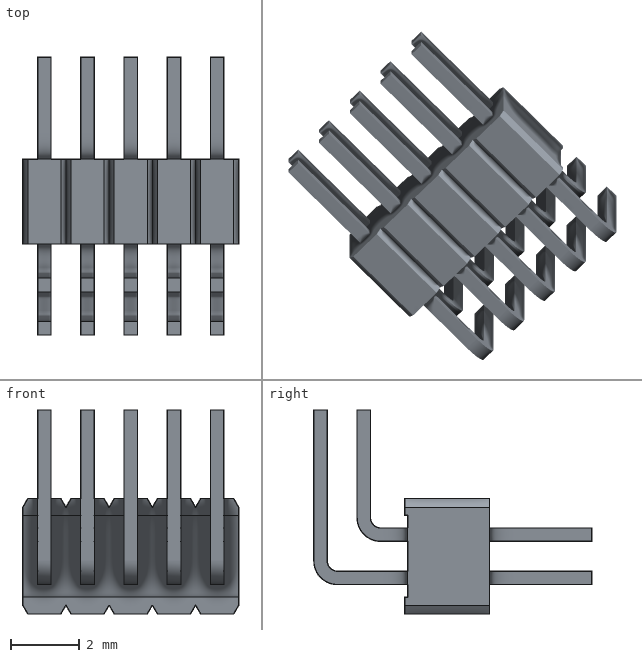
import cadquery as cq
import math

pitch = 1.27
columns = 5
pin_width = 0.4

body_length = columns * pitch
body_depth = 2.5
body_height = 3.4
body_front = -body_depth / 2
body_back = body_depth / 2

notch_half_width = 0.15
notch_slope_degrees = 60
notch_depth = notch_half_width * math.tan(math.radians(notch_slope_degrees))

recess_height = 2.4
recess_depth = 0.09

tail_length = 3.0
front_reach = 2.67
pin_top = 4.3
bend_inner_radius = 0.3
bend_outer_radius = bend_inner_radius + pin_width


def make_body():
    """Housing block with V notches along its top and bottom faces."""
    body = cq.Workplane("XY").box(body_length, body_depth, body_height)
    for boundary in range(columns + 1):
        x = -body_length / 2 + boundary * pitch
        for side in (-1, 1):
            face_z = side * body_height / 2
            notch = (
                cq.Workplane("XZ", origin=(x, 0, face_z))
                .moveTo(-notch_half_width, 0)
                .lineTo(notch_half_width, 0)
                .lineTo(0, -side * notch_depth)
                .close()
                .extrude(body_depth, both=True)
            )
            body = body.cut(notch)
    return body


def make_recess():
    """Volume removed from the front face, over the full housing length."""
    return cq.Workplane("XY").box(body_length, 2 * recess_depth, recess_height).translate((0, body_front, 0))


def make_pin(x, row_z, outer_y):
    """Square pin running forward through the housing, then bent upward."""
    bottom = row_z - pin_width / 2
    top = row_z + pin_width / 2
    inner_y = outer_y + pin_width
    tail_end = body_back + tail_length
    bend_y = outer_y + bend_outer_radius
    bend_z = bottom + bend_outer_radius
    diagonal = math.sqrt(0.5)
    outer_mid = (bend_y - bend_outer_radius * diagonal, bend_z - bend_outer_radius * diagonal)
    inner_mid = (bend_y - bend_inner_radius * diagonal, bend_z - bend_inner_radius * diagonal)
    return (
        cq.Workplane("YZ", origin=(x - pin_width / 2, 0, 0))
        .moveTo(tail_end, bottom)
        .lineTo(bend_y, bottom)
        .threePointArc(outer_mid, (outer_y, bend_z))
        .lineTo(outer_y, pin_top)
        .lineTo(inner_y, pin_top)
        .lineTo(inner_y, bend_z)
        .threePointArc(inner_mid, (bend_y, top))
        .lineTo(tail_end, top)
        .close()
        .extrude(pin_width)
    )


result = make_body().cut(make_recess())

lower_outer_y = body_front - front_reach
for column in range(columns):
    pin_x = (column - (columns - 1) / 2) * pitch
    result = result.union(make_pin(pin_x, -pitch / 2, lower_outer_y))
    result = result.union(make_pin(pin_x, pitch / 2, lower_outer_y + pitch))